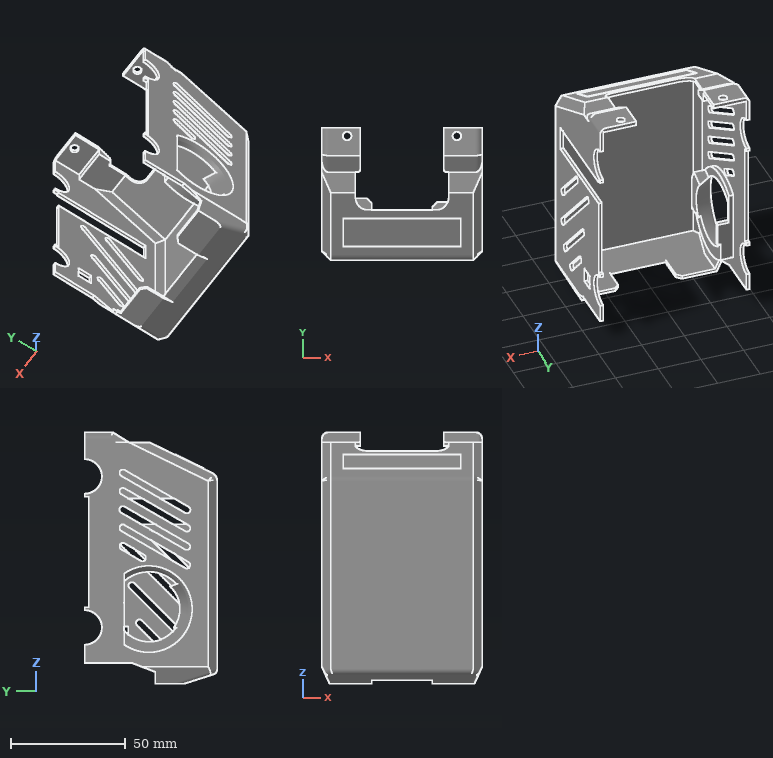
import cadquery as cq
import math

half_width = 35.0
depth = 57.9
height = 109.8
margin = 11.0
wall = 1.5

shoulder_z = 105.3
roof_y = 29.4
roof_slope = math.radians(26)
roof_front_z = shoulder_z - roof_y * math.tan(roof_slope)
tab_flat_y = 45.7
tab_foot_y = 38.4
tab_buried_run = 4.4
floor_front_y = 14.4
floor_back_y = 27.1
front_bottom_z = 4.6
floor_edge_top_z = 5.2
side_bottom_y = 37.1
side_bottom_z = 9.0

edge_chamfer = 4.0
roof_fillet = 4.0
bottom_fillet = 2.5
tab_fillet = 3.0
inner_chamfer = edge_chamfer - wall * (2 - math.sqrt(2))
taper_top_z = 7.5
taper_run = 3.4

tab_thickness = 2.0
tab_inner_x = 18.1
tab_corner_radius = 1.4
opening_half_width = 20.3
opening_front_y = 22.0
opening_radius = 5.5
screw_hole_diameter = 3.6
screw_hole_x = 23.9
screw_hole_y = 54.2

label_half_width = 25.6
label_front_y = 6.0
label_back_y = 18.3
label_rise = 0.2

notch_half_width = 13.2
notch_height = 1.5
notch_front_y = 8.8
notch_chamfer = 2.2
right_floor_back_y = 25.5

bite_radius = 7.5
bite_heights = (24.6, 90.5)
lip_height = 1.4
back_step = 1.8

vent_width = 3.0
vent_back_y = 41.2
vent_front_y = 13.3
vent_top_z = 92.0
vent_pitch = 8.0
vent_count = 5
vent_slope = math.radians(30)
short_vent_front_y = 32.6

port_y = 29.9
port_z = 32.6
port_radius = 18.9
port_chamfer = 1.5
port_flat_y = 40.6
port_end_radius = 13.5
boss_depth = 8.9
pad_depth = 3.6
boss_back_y = port_flat_y + wall
boss_top_back_z = 34.9
boss_top_front_z = 45.9
boss_step_z = 24.5
boss_low_depth = 7.5

window_front_y = 9.9
window_bottom_z = 69.7
window_top_z = 80.8
low_window_y = 38.9
low_window_top_z = 24.9
low_window_size = 6.6
right_vents = (
    (29.6, 65.8, 12.6),
    (42.7, 63.2, 12.6),
    (37.2, 42.8, 15.4),
    (33.9, 26.6, 23.1),
)


def side_plate(outline, x_start, x_end):
    """Closed (y, z) outline extruded from x_start to x_end."""
    plate = cq.Workplane("YZ").polyline(outline).close().extrude(x_end - x_start)
    return plate.translate((x_start, 0, 0))


def box(x_range, y_range, z_range):
    sizes = [end - start for start, end in (x_range, y_range, z_range)]
    corner = (x_range[0], y_range[0], z_range[0])
    return cq.Workplane("XY").box(*sizes, centered=False).translate(corner)


def side_tapers(side_x):
    """Wedges that lean the lower sides inward, starting from the planes x = +-side_x."""
    lean = taper_run / taper_top_z
    wedge = (
        cq.Workplane("XZ")
        .moveTo(side_x, taper_top_z)
        .lineTo(side_x - lean * (taper_top_z + margin), -margin)
        .lineTo(side_x + margin, -margin)
        .lineTo(side_x + margin, taper_top_z)
        .close()
        .extrude(-(depth + 2 * margin))
        .translate((0, -margin, 0))
    )
    return wedge.union(wedge.mirror("YZ"))


def round_floor_front(body):
    """Round the sloping front of the floor along its front and side edges."""
    slope_middle = (0, floor_front_y / 2, front_bottom_z / 2)
    slope_edges = body.faces(cq.selectors.NearestToPointSelector(slope_middle)).edges()
    ahead_of_level_floor = cq.selectors.BoxSelector(
        (-half_width, -margin, -margin),
        (half_width, floor_front_y - bottom_fillet, height),
    )
    return slope_edges.edges(ahead_of_level_floor).fillet(bottom_fillet)


def outer_body():
    outline = [
        (depth, side_bottom_z),
        (depth, shoulder_z),
        (roof_y, shoulder_z),
        (0, roof_front_z),
        (0, front_bottom_z),
        (floor_front_y, 0),
        (floor_back_y, 0),
        (floor_back_y, floor_edge_top_z),
        (side_bottom_y, side_bottom_z),
    ]
    body = side_plate(outline, -half_width, half_width)
    roof_front = cq.selectors.NearestToPointSelector((0, 0, roof_front_z))
    body = body.edges(roof_front).fillet(roof_fillet)
    for x in (-half_width, half_width):
        middle = (x, 0, height / 2)
        body = body.edges(cq.selectors.NearestToPointSelector(middle)).chamfer(edge_chamfer)
    body = body.cut(side_tapers(half_width))
    return round_floor_front(body)


def tab_block():
    """Raised block for both tabs; its sloping front runs on down into the body."""
    slope = (height - shoulder_z) / (tab_flat_y - tab_foot_y)
    bottom_z = shoulder_z - slope * tab_buried_run
    outline = [
        (depth, bottom_z),
        (depth, height),
        (tab_flat_y, height),
        (tab_foot_y - tab_buried_run, bottom_z),
    ]
    block = side_plate(outline, -half_width, half_width)
    top_faces = block.faces("not (<Z or <X or >X or >Y)")
    return top_faces.edges("not |X").fillet(tab_fillet)


def cavity():
    """Inside space, open to the back and behind the floor; the tab fronts stay solid."""
    open_y = depth + margin
    tab_ceiling_z = height - tab_thickness + wall
    tab_front_y = tab_flat_y - tab_thickness
    outline = [
        (floor_front_y, 0),
        (open_y, 0),
        (open_y, tab_ceiling_z),
        (tab_front_y, tab_ceiling_z),
        (tab_front_y, shoulder_z),
        (roof_y, shoulder_z),
        (0, roof_front_z),
        (0, front_bottom_z),
    ]
    inner_half_width = half_width - wall
    inner = cq.Workplane("YZ").polyline(outline).close().offset2D(-wall, "intersection")
    inner = inner.extrude(inner_half_width, both=True)
    for x in (-inner_half_width, inner_half_width):
        front_edge = cq.selectors.NearestToPointSelector((x, wall, height / 2))
        roof_edge = cq.selectors.NearestToPointSelector(
            (x, roof_y / 2, (roof_front_z + shoulder_z) / 2 - wall)
        )
        inner = inner.edges(front_edge).chamfer(inner_chamfer)
        inner = inner.edges(roof_edge).chamfer(inner_chamfer)
    inner = inner.cut(side_tapers(inner_half_width))
    below_floor_end = box(
        (-inner_half_width, inner_half_width),
        (floor_back_y, open_y),
        (-margin, height / 2),
    )
    return inner.union(below_floor_end)


def roof_opening():
    """Vertical cut through the roof and shoulder, narrower between the tabs."""
    bottom_z = height / 2
    top_z = height + margin
    opening = box(
        (-opening_half_width, opening_half_width),
        (opening_front_y, tab_foot_y),
        (bottom_z, top_z),
    )
    opening = opening.edges("|Z and <Y").fillet(opening_radius)
    between_tabs = box(
        (-tab_inner_x, tab_inner_x),
        (tab_foot_y - margin, depth + margin),
        (bottom_z, top_z),
    )
    opening = opening.union(between_tabs)
    for x in (-tab_inner_x, tab_inner_x):
        corner = cq.selectors.NearestToPointSelector((x, tab_foot_y, (bottom_z + top_z) / 2))
        opening = opening.edges(corner).fillet(tab_corner_radius)
    return opening


def screw_holes():
    centers = [(-screw_hole_x, screw_hole_y), (screw_hole_x, screw_hole_y)]
    holes = cq.Workplane("XY").workplane(offset=shoulder_z).pushPoints(centers)
    return holes.circle(screw_hole_diameter / 2).extrude(margin)


def label_plate():
    def roof_z(y):
        return roof_front_z + y * math.tan(roof_slope)

    out_y = label_rise * math.sin(roof_slope)
    out_z = label_rise * math.cos(roof_slope)
    ends = (label_front_y, label_back_y)
    raised = [(y - out_y, roof_z(y) + out_z) for y in ends]
    sunk = [(y + out_y, roof_z(y) - out_z) for y in reversed(ends)]
    outline = raised + sunk
    return side_plate(outline, -label_half_width, label_half_width)


def floor_notch():
    slot = box(
        (-notch_half_width, notch_half_width),
        (notch_front_y, depth),
        (-margin, notch_height),
    )
    right_trim = box(
        (notch_half_width, half_width - wall - taper_run),
        (right_floor_back_y, depth),
        (-margin, notch_height),
    )
    cut = slot.union(right_trim)
    for side, back_y in ((-1, floor_back_y), (1, right_floor_back_y)):
        corner = [
            (side * notch_half_width, back_y - notch_chamfer),
            (side * (notch_half_width + notch_chamfer), back_y),
            (side * notch_half_width, back_y),
        ]
        bevel = cq.Workplane("XY").polyline(corner).close().extrude(notch_height)
        cut = cut.union(bevel)
    return cut


def back_edge_cuts():
    """Round bites in the back edge and the shallow step between their lips."""
    low_z = bite_heights[0] + bite_radius + lip_height
    high_z = bite_heights[1] - bite_radius - lip_height
    cut = box((-half_width, half_width), (depth - back_step, depth), (low_z, high_z))
    for z in bite_heights:
        bite = cq.Workplane("YZ").center(depth, z).circle(bite_radius)
        cut = cut.union(bite.extrude(half_width, both=True))
    return cut


def vent(back, front, x_start):
    """Round-ended slot through a side wall between two (y, z) end centers."""
    run = front[0] - back[0]
    drop = front[1] - back[1]
    length = math.hypot(run, drop) + vent_width
    tilt = math.degrees(math.atan2(drop, run))
    slot = (
        cq.Workplane("YZ")
        .center((back[0] + front[0]) / 2, (back[1] + front[1]) / 2)
        .slot2D(length, vent_width, tilt)
        .extrude(wall)
    )
    return slot.translate((x_start, 0, 0))


def left_vents():
    vents = cq.Workplane("YZ")
    for index in range(vent_count):
        back_z = vent_top_z - index * vent_pitch
        is_last = index == vent_count - 1
        front_y = short_vent_front_y if is_last else vent_front_y
        front_z = back_z - (vent_back_y - front_y) * math.tan(vent_slope)
        vents = vents.union(vent((vent_back_y, back_z), (front_y, front_z), -half_width))
    return vents


def right_openings():
    wall_x = (half_width - wall, half_width)
    cut = box(wall_x, (window_front_y, depth), (window_bottom_z, window_top_z))
    low_window = box(
        wall_x,
        (low_window_y, low_window_y + low_window_size),
        (low_window_top_z - low_window_size, low_window_top_z),
    )
    cut = cut.union(low_window)
    for back_y, back_z, front_y in right_vents:
        front_z = back_z - (back_y - front_y)
        cut = cut.union(vent((back_y, back_z), (front_y, front_z), wall_x[0]))
    return cut


def boss_disc(thickness):
    disc = cq.Workplane("YZ").center(port_y, port_z).circle(port_radius + wall).extrude(thickness)
    kept = box((-half_width, 0), (0, boss_back_y), (0, height))
    return disc.translate((-half_width, 0, 0)).intersect(kept)


def port_boss():
    """Round pad inside the left wall, and a boss below a sloping line, stepped near its bottom."""
    outline = [
        (boss_back_y, 0),
        (boss_back_y, boss_top_back_z),
        (port_y - port_radius, boss_top_front_z),
        (port_y - port_radius, 0),
    ]
    boss = boss_disc(boss_depth).intersect(side_plate(outline, -half_width, 0))
    step = box((boss_low_depth - half_width, 0), (0, depth), (0, boss_step_z))
    pad = boss_disc(pad_depth)
    return boss.cut(step).union(pad)


def port_hole():
    """D-shaped hole: a chamfered rim, then a cone that narrows inward."""
    throat_radius = port_radius - port_chamfer
    half_section = [
        (0, 0),
        (port_radius, 0),
        (throat_radius, port_chamfer),
        (port_end_radius, boss_depth),
        (0, boss_depth),
    ]
    cone = cq.Workplane("XY").polyline(half_section).close().revolve(360, (0, 0, 0), (0, 1, 0))
    cone = cone.rotate((0, 0, 0), (0, 0, 1), -90).translate((-half_width, port_y, port_z))
    kept = box((-half_width, 0), (0, port_flat_y), (0, height))
    return cone.intersect(kept)


result = (
    outer_body()
    .union(tab_block())
    .cut(cavity())
    .union(port_boss())
    .union(label_plate())
    .cut(port_hole())
    .cut(roof_opening())
    .cut(screw_holes())
    .cut(floor_notch())
    .cut(back_edge_cuts())
    .cut(left_vents())
    .cut(right_openings())
)